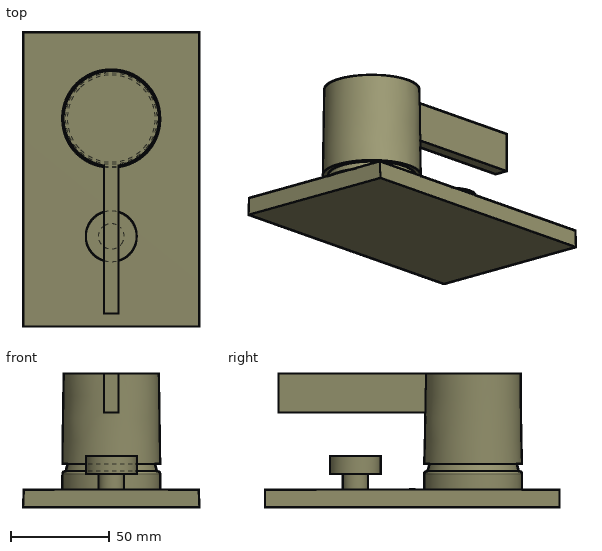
import cadquery as cq

PLATE_WIDTH = 90.0
PLATE_LENGTH = 150.0
PLATE_EDGE_HEIGHT = 9.0
PLATE_CROWN = 0.2
PLATE_SIDE_LEAN = 0.4

HANDLE_Y = 31.0
KNOB_SPACING = 60.0
KNOB_Y = HANDLE_Y - KNOB_SPACING
LEVER_REACH = 99.2
LEVER_END_Y = HANDLE_Y - LEVER_REACH

COLLAR_RADIUS = 25.0
COLLAR_TOP = 18.4
COLLAR_FILLET = 1.5
NECK_BASE_RADIUS = 23.3
NECK_TOP_RADIUS = 22.3
NECK_TOP = 22.16

HANDLE_TOP = 68.16
HANDLE_BASE_RADIUS = 25.0
HANDLE_TOP_RADIUS = 24.3
LEVER_WIDTH = 7.6
LEVER_HEIGHT = 20.0

KNOB_RADIUS = 13.0
KNOB_BOTTOM = 16.9
KNOB_TOP = 26.15
STEM_RADIUS = 6.5


def make_plate_block():
    """Drafted plate whose flat top edges bound a shallow crown."""
    base_half = PLATE_WIDTH / 2
    top_half = base_half - PLATE_SIDE_LEAN
    y_end = PLATE_LENGTH / 2
    block = (
        cq.Workplane("XZ", origin=(0, y_end, 0))
        .polyline([
            (-base_half, 0),
            (base_half, 0),
            (top_half, PLATE_EDGE_HEIGHT),
            (-top_half, PLATE_EDGE_HEIGHT),
        ])
        .close()
        .extrude(PLATE_LENGTH)
    )
    top_edges = block.faces(">Z").edges().vals()
    crest = cq.Vector(0, 0, PLATE_EDGE_HEIGHT + PLATE_CROWN)
    crown = cq.Face.makeNSidedSurface(top_edges, [crest])
    other_faces = block.faces("not >Z").vals()
    return cq.Workplane(cq.Solid.makeSolid(cq.Shell.makeShell([crown, *other_faces])))


def revolve_about_handle_axis(profile):
    """Turn an (r, z) profile about the vertical handle axis."""
    return profile.close().revolve(360, (0, 0, 0), (0, 1, 0))


def make_collar_blank():
    """Collar and neck, reaching down to the underside of the plate."""
    profile = (
        cq.Workplane("XZ", origin=(0, HANDLE_Y, 0))
        .lineTo(COLLAR_RADIUS, 0)
        .lineTo(COLLAR_RADIUS, COLLAR_TOP - COLLAR_FILLET)
        .radiusArc((COLLAR_RADIUS - COLLAR_FILLET, COLLAR_TOP), -COLLAR_FILLET)
        .lineTo(NECK_BASE_RADIUS, COLLAR_TOP)
        .lineTo(NECK_TOP_RADIUS, NECK_TOP)
        .lineTo(0, NECK_TOP)
    )
    return revolve_about_handle_axis(profile)


def make_handle():
    """Tapered body resting on the neck, with its lever reaching toward -Y."""
    profile = (
        cq.Workplane("XZ", origin=(0, HANDLE_Y, 0))
        .moveTo(0, NECK_TOP)
        .lineTo(HANDLE_BASE_RADIUS, NECK_TOP)
        .lineTo(HANDLE_TOP_RADIUS, HANDLE_TOP)
        .lineTo(0, HANDLE_TOP)
    )
    lever = cq.Workplane("XY", origin=(0, LEVER_END_Y, HANDLE_TOP - LEVER_HEIGHT)).box(
        LEVER_WIDTH, LEVER_REACH, LEVER_HEIGHT, centered=(True, False, False)
    )
    return revolve_about_handle_axis(profile).union(lever)


def make_knob_blank():
    """Knob and stem, reaching down to the underside of the plate."""
    stem = cq.Workplane("XY", origin=(0, KNOB_Y, 0)).circle(STEM_RADIUS).extrude(KNOB_BOTTOM)
    cap = cq.Workplane("XY", origin=(0, KNOB_Y, KNOB_BOTTOM)).circle(KNOB_RADIUS)
    return stem.union(cap.extrude(KNOB_TOP - KNOB_BOTTOM))


plate = make_plate_block()
collar = make_collar_blank().cut(plate)
knob = make_knob_blank().cut(plate)
handle = make_handle()

result = cq.Compound.makeCompound([plate.val(), collar.val(), handle.val(), knob.val()])